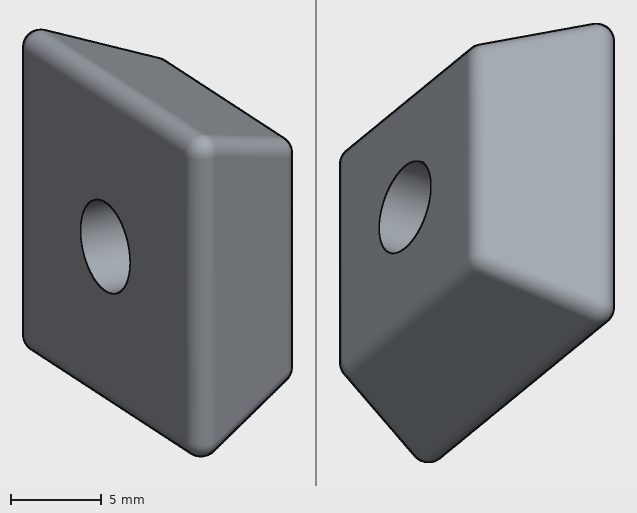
import cadquery as cq
import math

outer_side = 19.14
depth = 8.0
taper_angle = 20.0
edge_radius = 1.0
hole_diameter = 5.3

taper = math.radians(taper_angle)
rounding_centre = outer_side / 2 - edge_radius
sharp_half_side = rounding_centre + edge_radius * (1 / math.cos(taper) + math.tan(taper))
sharp_side = 2 * sharp_half_side


def tapered_block():
    """Square block narrowing toward +Y, with all its edges rounded."""
    front_plane = cq.Workplane("XZ", origin=(0, -depth / 2, 0))
    block = front_plane.rect(sharp_side, sharp_side).extrude(-depth, taper=taper_angle)
    return block.edges().fillet(edge_radius)


def through_hole():
    """Central cylinder running the full depth."""
    return cq.Workplane("XZ").circle(hole_diameter / 2).extrude(depth, both=True)


result = tapered_block().cut(through_hole())